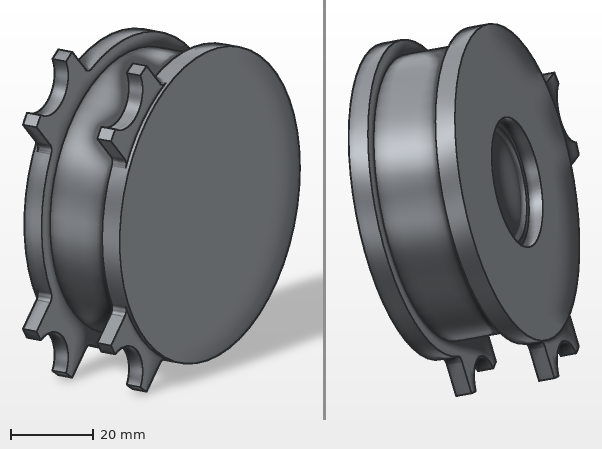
import cadquery as cq
import math

total_width = 28.0
flange_diameter = 78.0
core_diameter = 70.7
flange_width = 5.1

recess_diameter = 32.0
recess_depth = 3.6
pocket_diameter = 29.1
pocket_floor_diameter = 25.9
pocket_depth = 0.9

lug_inset = 1.1
lug_tip_radius = 48.55
lug_half_width = 10.9
lug_root_radius = 32.9
lug_angles = (45, 135)
notch_radius = 8.1
notch_center_radius = 50.3
lug_fillet = 2.0

half_width = total_width / 2
lug_width = flange_width - lug_inset


def disc(x_start, width, diameter):
    """Cylinder along +X."""
    return cq.Workplane("YZ").workplane(offset=x_start).circle(diameter / 2).extrude(width)


def make_lug(x_start):
    """Double-pronged lug pointing along +Z, with arc-shaped tips and a round notch."""
    rim_radius = flange_diameter / 2
    shoulder = math.sqrt(lug_tip_radius**2 - lug_half_width**2)
    fillet_center_y = lug_half_width + lug_fillet
    fillet_center_z = math.sqrt((rim_radius + lug_fillet) ** 2 - fillet_center_y**2)
    rim_ratio = rim_radius / (rim_radius + lug_fillet)
    rim_y = fillet_center_y * rim_ratio
    rim_z = fillet_center_z * rim_ratio
    arc_angle = (math.pi + math.atan2(-fillet_center_z, -fillet_center_y) + 2 * math.pi) / 2
    middle_y = fillet_center_y + lug_fillet * math.cos(arc_angle)
    middle_z = fillet_center_z + lug_fillet * math.sin(arc_angle)

    blank = (
        cq.Workplane("YZ")
        .workplane(offset=x_start)
        .moveTo(-rim_y, lug_root_radius)
        .lineTo(-rim_y, rim_z)
        .threePointArc((-middle_y, middle_z), (-lug_half_width, fillet_center_z))
        .lineTo(-lug_half_width, shoulder)
        .threePointArc((0, lug_tip_radius), (lug_half_width, shoulder))
        .lineTo(lug_half_width, fillet_center_z)
        .threePointArc((middle_y, middle_z), (rim_y, rim_z))
        .lineTo(rim_y, lug_root_radius)
        .close()
        .extrude(lug_width)
    )
    notch = disc(x_start, lug_width, 2 * notch_radius).translate((0, 0, notch_center_radius))
    return blank.cut(notch)


def make_recess():
    """Round recess with a shallow pocket whose wall curves into its floor."""
    floor_x = -half_width + recess_depth
    pocket_radius = pocket_diameter / 2
    floor_radius = pocket_floor_diameter / 2
    curve_width = pocket_radius - floor_radius
    curve_radius = (curve_width**2 + pocket_depth**2) / (2 * pocket_depth)
    middle_y = floor_radius + curve_width / 2
    curve_drop = curve_radius - math.sqrt(curve_radius**2 - (curve_width / 2) ** 2)
    pocket_floor_x = floor_x + pocket_depth
    return (
        cq.Workplane("XY")
        .moveTo(-half_width, 0)
        .lineTo(-half_width, recess_diameter / 2)
        .lineTo(floor_x, recess_diameter / 2)
        .lineTo(floor_x, pocket_radius)
        .threePointArc((pocket_floor_x - curve_drop, middle_y), (pocket_floor_x, floor_radius))
        .lineTo(pocket_floor_x, 0)
        .close()
        .revolve(360, (0, 0, 0), (1, 0, 0))
    )


body = disc(-half_width, total_width, core_diameter)
for flange_x in (-half_width, half_width - flange_width):
    body = body.union(disc(flange_x, flange_width, flange_diameter))

for lug_x in (-half_width + lug_inset, half_width - flange_width):
    lug = make_lug(lug_x)
    for angle in lug_angles:
        body = body.union(lug.rotate((0, 0, 0), (1, 0, 0), angle))

result = body.cut(make_recess())